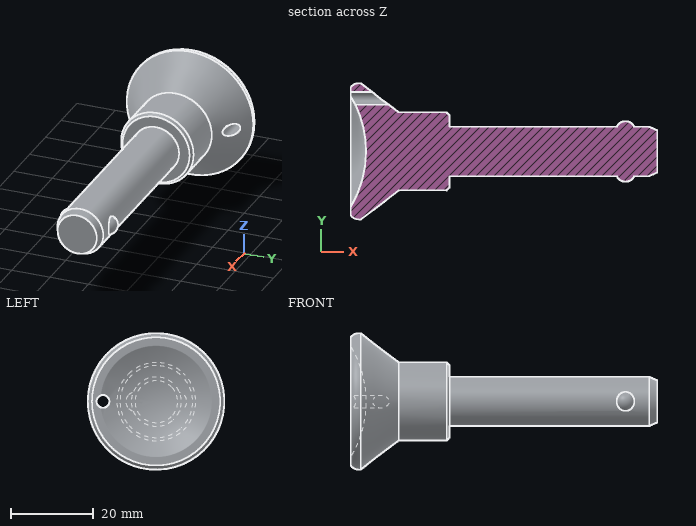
import cadquery as cq

total_length = 74.0
head_length = 23.9

button_diameter = 33.0
button_radius = button_diameter / 2
face_radius = 15.5
rim_round_end = 2.0
rim_drop = button_radius - face_radius
rim_round_radius = (rim_round_end**2 + rim_drop**2) / (2 * rim_drop)
cone_start = 2.45
cone_end = 11.6
dish_diameter = 26.8
dish_radius = dish_diameter / 2
dish_depth = 3.7
dish_edge_round = 0.2

collar_radius = 9.5
collar_chamfer = 0.75

shank_diameter = 12.0
shank_radius = shank_diameter / 2
tip_chamfer_length = 2.0
tip_chamfer_depth = 0.9

lanyard_hole_diameter = 3.0
lanyard_hole_offset = 12.8

ball_diameter = 4.7
ball_radius = ball_diameter / 2
ball_position = 66.3
ball_reach = 7.3


def make_head():
    """Revolve the button and collar around X, then break the collar and dish edges."""
    head = (
        cq.Workplane("XY")
        .moveTo(dish_depth, 0)
        .threePointArc(dish_arc_middle(), (0, dish_radius))
        .lineTo(0, face_radius)
        .radiusArc((rim_round_end, button_radius), rim_round_radius)
        .lineTo(cone_start, button_radius)
        .lineTo(cone_end, collar_radius)
        .lineTo(head_length, collar_radius)
        .lineTo(head_length, 0)
        .close()
        .revolve(360, (0, 0, 0), (1, 0, 0))
    )
    head = head.faces(">X").edges().chamfer(collar_chamfer)
    return head.faces("<X").edges(cq.selectors.RadiusNthSelector(0)).fillet(dish_edge_round)


def dish_arc_middle():
    """Point halfway across the spherical dish, between its center and edge."""
    sphere_radius = (dish_radius**2 + dish_depth**2) / (2 * dish_depth)
    middle_radius = dish_radius / 2
    sphere_center = dish_depth - sphere_radius
    return (sphere_center + (sphere_radius**2 - middle_radius**2) ** 0.5, middle_radius)


def make_shank():
    """Revolve the shank with its tapered tip, from the collar to the far end."""
    return (
        cq.Workplane("XY")
        .moveTo(head_length, 0)
        .lineTo(head_length, shank_radius)
        .lineTo(total_length - tip_chamfer_length, shank_radius)
        .lineTo(total_length, shank_radius - tip_chamfer_depth)
        .lineTo(total_length, 0)
        .close()
        .revolve(360, (0, 0, 0), (1, 0, 0))
    )


def make_ball(side):
    """Locking ball on the +Y (side = 1) or -Y (side = -1) side."""
    center_offset = side * (ball_reach - ball_radius)
    return cq.Workplane("XY").sphere(ball_radius).translate((ball_position, center_offset, 0))


def make_lanyard_hole():
    """Drill parallel to the axis through the dished flange of the button."""
    return (
        cq.Workplane("YZ")
        .center(lanyard_hole_offset, 0)
        .circle(lanyard_hole_diameter / 2)
        .extrude(head_length)
    )


result = make_head().union(make_shank())
for ball_side in (1, -1):
    result = result.union(make_ball(ball_side))
result = result.cut(make_lanyard_hole())